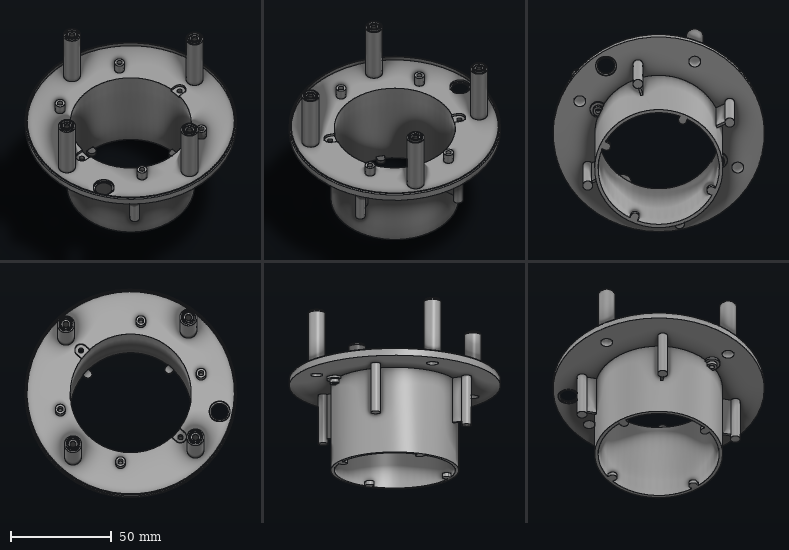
import cadquery as cq
import math

FLANGE_RADIUS = 52.4
FLANGE_HEIGHT = 4.0
FLOOR_Z = 2.0
RIM_INNER_RADIUS = 51.4
RIM_CHAMFER = 0.5

BORE_RADIUS = 30.0
TUBE_RADIUS = 31.75
TUBE_LENGTH = 43.8

TAB_WIDTH = 4.2
TAB_REACH = 3.6
TAB_THICKNESS = 2.0
TAB_COUNT = 4

POST_CIRCLE_RADIUS = 43.0
POST_RADIUS = 4.25
POST_TOP_Z = FLANGE_HEIGHT + 29.0
POST_TIP_RADIUS = 3.5
POST_TIP_HEIGHT = 1.0
POST_MOUTH_RADIUS = 2.9
POST_MOUTH_DEPTH = 0.5
POST_SEAT_RADIUS = 2.4
POST_SEAT_DEPTH = 1.0
POST_HOLE_RADIUS = 1.55
POST_THROAT_LENGTH = 1.0
POST_CLEARANCE_RADIUS = 2.9
POST_COUNT = 4

BOSS_X = 30.0
BOSS_Y = 20.0
BOSS_RADIUS = 2.45
BOSS_HOLE_RADIUS = 1.3
BOSS_TOP_Z = FLANGE_HEIGHT + 3.1

PIN_X = 30.0
PIN_Y = 25.0
PIN_RADIUS = 2.45
PIN_LENGTH = 25.2
RIB_THICKNESS = 1.2
RIB_LENGTH = 23.0

SEAT_Y = 33.0
SEAT_POCKET_RADIUS = 3.05
SEAT_POCKET_DEPTH = 1.3
SEAT_DISC_RADIUS = 4.0
SEAT_DISC_HEIGHT = 1.2
SEAT_BOSS_RADIUS = 2.5
SEAT_BOSS_HEIGHT = 3.1
SEAT_HOLE_RADIUS = 1.25

CABLE_CIRCLE_RADIUS = 45.0
CABLE_ANGLE = -60.0
CABLE_HOLE_RADIUS = 4.2
CABLE_COUNTERBORE_RADIUS = 5.15
CABLE_COUNTERBORE_DEPTH = 1.0
CABLE_LIP_THICKNESS = 0.5


def cylinder(radius, bottom_z, top_z, x=0.0, y=0.0):
    """Upright cylinder between two heights."""
    return cq.Workplane("XY", origin=(x, y, bottom_z)).circle(radius).extrude(top_z - bottom_z)


def block(x_start, x_end, width, bottom_z, top_z):
    """Box along +X, centred on the X axis in Y."""
    length = x_end - x_start
    plane = cq.Workplane("XY", origin=(x_start + length / 2, 0, bottom_z))
    return plane.rect(length, width).extrude(top_z - bottom_z)


def about_z(shape, angle):
    """Turn a shape about the part axis by an angle in degrees."""
    return shape.rotate((0, 0, 0), (0, 0, 1), angle)


def corners(x, y):
    """The four mirror images of a point about the X and Y axes."""
    return [(sx * x, sy * y) for sx in (-1, 1) for sy in (-1, 1)]


def make_flange():
    """Plate with a chamfered rim, before the bore is cut."""
    flange = cylinder(FLANGE_RADIUS, 0, FLANGE_HEIGHT).faces(">Z").edges().chamfer(RIM_CHAMFER)
    return flange.cut(cylinder(RIM_INNER_RADIUS, FLOOR_Z, FLANGE_HEIGHT))


def make_post():
    """Post on the +X axis with a narrower tip."""
    shoulder_z = POST_TOP_Z - POST_TIP_HEIGHT
    post = cylinder(POST_RADIUS, FLOOR_Z, shoulder_z, POST_CIRCLE_RADIUS)
    return post.union(cylinder(POST_TIP_RADIUS, shoulder_z, POST_TOP_Z, POST_CIRCLE_RADIUS))


def make_post_bore():
    """Bore on the +X axis: tapered mouth, seat, throat and a wider clearance bore below."""
    seat_z = POST_TOP_Z - POST_SEAT_DEPTH
    throat_end_z = seat_z - POST_THROAT_LENGTH
    mouth_z = POST_TOP_Z - POST_MOUTH_DEPTH
    mouth = (
        cq.Workplane("XY", origin=(POST_CIRCLE_RADIUS, 0, mouth_z))
        .circle(POST_SEAT_RADIUS)
        .workplane(offset=POST_MOUTH_DEPTH)
        .circle(POST_MOUTH_RADIUS)
        .loft()
    )
    seat = cylinder(POST_SEAT_RADIUS, seat_z, mouth_z, POST_CIRCLE_RADIUS)
    throat = cylinder(POST_HOLE_RADIUS, throat_end_z, seat_z, POST_CIRCLE_RADIUS)
    clearance = cylinder(POST_CLEARANCE_RADIUS, 0, throat_end_z, POST_CIRCLE_RADIUS)
    return mouth.union(seat).union(throat).union(clearance)


def make_pin(x, y):
    """Pin with a radial rib that runs from the tube wall to the pin centre."""
    mid_wall_radius = (BORE_RADIUS + TUBE_RADIUS) / 2
    rib = block(mid_wall_radius, math.hypot(x, y), RIB_THICKNESS, -RIB_LENGTH, 0)
    rib = about_z(rib, math.degrees(math.atan2(y, x)))
    return cylinder(PIN_RADIUS, -PIN_LENGTH, 0, x, y).union(rib)


def make_seat_boss(y):
    """Stepped boss under a screw seat."""
    disc = cylinder(SEAT_DISC_RADIUS, -SEAT_DISC_HEIGHT, 0, 0, y)
    return disc.union(cylinder(SEAT_BOSS_RADIUS, -SEAT_BOSS_HEIGHT, 0, 0, y))


def make_seat_pocket():
    """Round-ended pocket at +Y, open to the bore, with its screw hole."""
    floor_z = FLOOR_Z - SEAT_POCKET_DEPTH
    mouth = about_z(block(0, SEAT_Y, 2 * SEAT_POCKET_RADIUS, floor_z, FLOOR_Z), 90)
    pocket = mouth.union(cylinder(SEAT_POCKET_RADIUS, floor_z, FLOOR_Z, 0, SEAT_Y))
    return pocket.union(cylinder(SEAT_HOLE_RADIUS, -SEAT_BOSS_HEIGHT, FLOOR_Z, 0, SEAT_Y))


def make_tab():
    """Round-ended tab reaching inward from the tube wall on the +X side."""
    tip_radius = TAB_WIDTH / 2
    tip_x = BORE_RADIUS - TAB_REACH + tip_radius
    wall_x = (BORE_RADIUS + TUBE_RADIUS) / 2
    top_z = TAB_THICKNESS - TUBE_LENGTH
    tab = block(tip_x, wall_x, TAB_WIDTH, -TUBE_LENGTH, top_z)
    return tab.union(cylinder(tip_radius, -TUBE_LENGTH, top_z, tip_x))


def make_cable_hole():
    """Stepped hole through the flange floor."""
    angle = math.radians(CABLE_ANGLE)
    x = CABLE_CIRCLE_RADIUS * math.cos(angle)
    y = CABLE_CIRCLE_RADIUS * math.sin(angle)
    lip_top_z = FLOOR_Z - CABLE_COUNTERBORE_DEPTH
    lip_bottom_z = lip_top_z - CABLE_LIP_THICKNESS
    hole = cylinder(CABLE_HOLE_RADIUS, 0, FLOOR_Z, x, y)
    upper = cylinder(CABLE_COUNTERBORE_RADIUS, lip_top_z, FLOOR_Z, x, y)
    lower = cylinder(CABLE_COUNTERBORE_RADIUS, 0, lip_bottom_z, x, y)
    return hole.union(upper).union(lower)


body = make_flange().union(cylinder(TUBE_RADIUS, -TUBE_LENGTH, 0))
for i in range(POST_COUNT):
    body = body.union(about_z(make_post(), i * 360 / POST_COUNT))
for x, y in corners(BOSS_X, BOSS_Y):
    body = body.union(cylinder(BOSS_RADIUS, FLOOR_Z, BOSS_TOP_Z, x, y))
for x, y in corners(PIN_X, PIN_Y):
    body = body.union(make_pin(x, y))
for side in (-1, 1):
    body = body.union(make_seat_boss(side * SEAT_Y))

body = body.cut(cylinder(BORE_RADIUS, -TUBE_LENGTH, FLOOR_Z))
for i in range(POST_COUNT):
    body = body.cut(about_z(make_post_bore(), i * 360 / POST_COUNT))
for x, y in corners(BOSS_X, BOSS_Y):
    body = body.cut(cylinder(BOSS_HOLE_RADIUS, FLOOR_Z, BOSS_TOP_Z, x, y))
for turn in (0, 180):
    body = body.cut(about_z(make_seat_pocket(), turn))
body = body.cut(make_cable_hole())

for i in range(TAB_COUNT):
    body = body.union(about_z(make_tab(), i * 360 / TAB_COUNT))

result = body